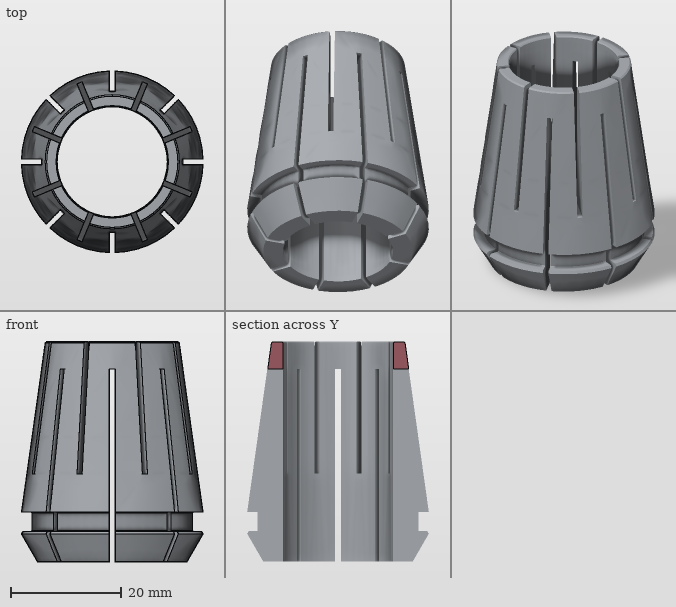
import cadquery as cq
import math

length = 40.0
outer_diameter = 33.0
bore_diameter = 20.0

cone_angle = 8.0
cone_base_z = 9.05

groove_bottom_z = 5.55
groove_diameter = 29.2
groove_root_chamfer = 0.1
nose_rim_height = 0.5
nose_rim_inset = 0.3
nose_angle = 30.0

top_outer_chamfer = 0.25
top_bore_chamfer = 0.2

slots_per_end = 8
slot_width = 1.0
lower_slot_top_z = 35.0
upper_slot_bottom_z = 16.0

outer_radius = outer_diameter / 2
bore_radius = bore_diameter / 2
groove_radius = groove_diameter / 2
cone_slope = math.tan(math.radians(cone_angle))
top_radius = outer_radius - (length - cone_base_z) * cone_slope
nose_taper_height = groove_bottom_z - nose_rim_height
nose_end_radius = outer_radius - nose_taper_height * math.tan(math.radians(nose_angle))


def collet_body():
    """Revolved sleeve: cone, groove, tapered nose and through bore."""
    profile = [
        (bore_radius, 0),
        (nose_end_radius, 0),
        (outer_radius, nose_taper_height),
        (outer_radius - nose_rim_inset, groove_bottom_z),
        (groove_radius + groove_root_chamfer, groove_bottom_z),
        (groove_radius, groove_bottom_z + groove_root_chamfer),
        (groove_radius, cone_base_z - groove_root_chamfer),
        (groove_radius + groove_root_chamfer, cone_base_z),
        (outer_radius, cone_base_z),
        (top_radius + top_outer_chamfer * cone_slope, length - top_outer_chamfer),
        (top_radius - top_outer_chamfer, length),
        (bore_radius + top_bore_chamfer, length),
        (bore_radius, length - top_bore_chamfer),
    ]
    return cq.Workplane("XZ").polyline(profile).close().revolve(360, (0, 0), (0, 1))


def slot_ring(bottom_z, top_z, start_angle):
    """Evenly spaced radial slot cutters, each running from the axis past the outside."""
    cutter = cq.Workplane("XY").box(
        outer_diameter, slot_width, top_z - bottom_z, centered=(False, True, False)
    )
    cutter = cutter.translate((0, 0, bottom_z))
    pitch = 360 / slots_per_end
    ring = cq.Workplane("XY")
    for index in range(slots_per_end):
        turned = cutter.rotate((0, 0, 0), (0, 0, 1), start_angle + index * pitch)
        ring = ring.add(turned)
    return ring.combine()


half_pitch = 180 / slots_per_end
lower_slots = slot_ring(0, lower_slot_top_z, 0)
upper_slots = slot_ring(upper_slot_bottom_z, length, half_pitch)

result = collet_body().cut(lower_slots).cut(upper_slots)